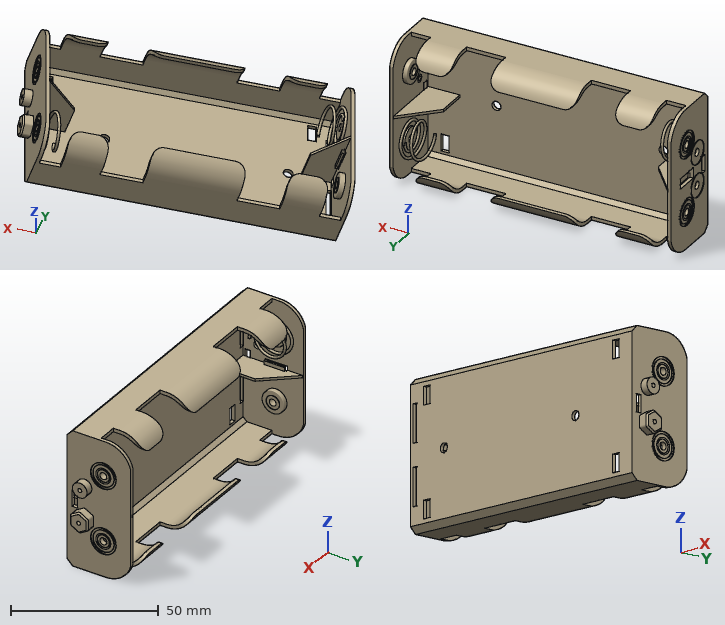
import cadquery as cq
import math

length = 109.0
depth = 25.68
width = 53.98
wall = 1.4
half_width = width / 2

back_chamfer = 2.35
shoulder_radius = 10.3
shoulder_y = 15.7
shoulder_z = half_width - shoulder_radius

notch_floor_y = 13.0
flap_end_start = 8.85
flap_end_length = 14.0
flap_middle_length = 33.2
flap_tip_z = 20.5
flap_corner_radius = 4.2

rib_thickness = 1.0
rib_top_y = 25.4
rib_left_slope = 1.17
rib_right_slope = 1.0

window_x = 6.5
window_length = 3.05
window_z_min = 16.55
window_z_max = 23.05
slot_x = 1.3
slot_length = 1.8
slot_z_min = 4.2
slot_z_max = 17.9
mount_hole_diameter = 3.4
mount_hole_xs = (16.45, 81.1)

contact_y = 14.6
contact_z = 13.0
contact_recess_radius = 5.1
contact_recess_depth = 0.4
contact_flange_radius = 4.25
contact_flange_thickness = 0.3
contact_shank_radius = 2.5
contact_bore_radius = 1.35
lip_mean_radius = 2.7
lip_wire_radius = 0.55
button_head_radius = 4.5
button_thickness = 1.75
button_edge_fillet = 0.2
button_nub_radius = 2.7
button_nub_height = 0.2

spring_base_thickness = 0.7
spring_wire_radius = 0.5
spring_spiral_turns = 1.0
spring_coil_turns = 1.5
spring_inner_radius = 3.6
spring_base_radius = 6.9
spring_tip_radius = 6.4
spring_pitch = 4.0
spring_seat_gap = 0.05
spring_points_per_turn = 16

snap_y = 7.1
snap_z = 6.35
snap_hole_radius = 1.4
snap_bore_radius = 0.75
snap_recess_radius = 4.45
snap_recess_depth = 0.3
stud_radius = 2.95
stud_height = 3.0
socket_across_flats = 7.3
socket_height = 3.7
socket_corner_fillet = 1.0
socket_rim_chamfer = 0.6

wire_slot_y_min = 2.1
wire_slot_y_max = 4.25
wire_slot_half_width = 3.2
pocket_y = 14.7
pocket_length = 9.0
pocket_width = 4.0
pocket_depth = 1.8
pocket_pad_length = 8.2
pocket_pad_thickness = 1.2


def box(x_range, y_range, z_range):
    """Box spanning three (low, high) ranges."""
    spans = [high - low for low, high in (x_range, y_range, z_range)]
    corner = (x_range[0], y_range[0], z_range[0])
    return cq.Workplane("XY").box(*spans, centered=False).translate(corner)


def rod(radius, x_start, x_end, y, z):
    """Cylinder along X."""
    plane = cq.Workplane("YZ", origin=(x_start, y, z))
    return plane.circle(radius).extrude(x_end - x_start)


def mirrored_in_z(shape):
    """The shape together with its mirror image across the middle plane."""
    return shape.union(shape.mirror("XY"))


def turned_to_right_end(shape):
    """Copy turned half a turn about the axis along Y through the middle of the holder."""
    middle = length / 2
    return shape.rotate((middle, 0, 0), (middle, 1, 0), 180)


def section_prism(inset, x_start, x_end):
    """Housing section inset by a wall thickness, with full quarter-round shoulders, run along X."""
    radius = shoulder_radius - inset
    side_z = half_width - inset
    chamfer = back_chamfer - inset * (2 - math.sqrt(2))
    crest_y = shoulder_y + radius
    arc_middle = radius * math.sqrt(0.5)
    return (
        cq.Workplane("YZ", origin=(x_start, 0, 0))
        .moveTo(inset, side_z - chamfer)
        .lineTo(inset + chamfer, side_z)
        .lineTo(shoulder_y, side_z)
        .threePointArc((shoulder_y + arc_middle, shoulder_z + arc_middle), (crest_y, shoulder_z))
        .lineTo(crest_y, -shoulder_z)
        .threePointArc((shoulder_y + arc_middle, -shoulder_z - arc_middle), (shoulder_y, -side_z))
        .lineTo(inset + chamfer, -side_z)
        .lineTo(inset, chamfer - side_z)
        .close()
        .extrude(x_end - x_start)
    )


def flap_keep_outs():
    """Everything above the notch floors between the end walls, except the rounded flaps."""
    middle_x = length / 2
    end_flap_x = flap_end_start + flap_end_length / 2
    flaps = (
        (end_flap_x, flap_end_length),
        (middle_x, flap_middle_length),
        (length - end_flap_x, flap_end_length),
    )
    keep_out = box(
        (wall, length - wall),
        (notch_floor_y, depth + wall),
        (-half_width - wall, half_width + wall),
    )
    flap_reach = half_width + wall - flap_tip_z
    for x, flap_length in flaps:
        flap = (
            cq.Workplane("XY")
            .box(flap_length, depth, flap_reach)
            .edges("|Y and <Z")
            .fillet(flap_corner_radius)
            .translate((x, notch_floor_y + depth / 2, flap_tip_z + flap_reach / 2))
        )
        keep_out = keep_out.cut(mirrored_in_z(flap))
    return keep_out


def end_rib(slope):
    """Triangular rib behind the left end wall, in the middle plane."""
    foot_x = wall + (rib_top_y - notch_floor_y) / slope
    return (
        cq.Workplane("XY", origin=(0, 0, -rib_thickness / 2))
        .polyline([(wall, wall), (wall, rib_top_y), (foot_x, notch_floor_y), (foot_x, wall)])
        .close()
        .extrude(rib_thickness)
    )


def back_plate_openings():
    """Corner windows, contact slots and mounting holes through the back plate."""
    through = (0, wall)
    window = box((window_x, window_x + window_length), through, (window_z_min, window_z_max))
    windows = mirrored_in_z(window)
    slot = box((slot_x, slot_x + slot_length), through, (slot_z_min, slot_z_max))
    openings = windows.union(turned_to_right_end(windows)).union(mirrored_in_z(slot))
    for x in mount_hole_xs:
        hole = cq.Workplane("XZ", origin=(x, wall, 0)).circle(mount_hole_diameter / 2).extrude(wall)
        openings = openings.union(hole)
    return openings


def contact_seat():
    """Shank hole and outer recess for a contact in the upper left corner."""
    hole = rod(contact_shank_radius, 0, wall, contact_y, contact_z)
    return hole.union(rod(contact_recess_radius, 0, contact_recess_depth, contact_y, contact_z))


def wire_slot():
    """Wire passage through the left end wall, beside the back plate."""
    return box(
        (0, wall),
        (wire_slot_y_min, wire_slot_y_max),
        (-wire_slot_half_width, wire_slot_half_width),
    )


def pocket():
    """Blind rectangular pocket in the outer face of the left end wall."""
    plane = cq.Workplane("YZ", origin=(0, pocket_y, 0))
    return plane.rect(pocket_length, pocket_width).extrude(pocket_depth)


def pocket_pad():
    """Pad inside the left end wall that backs the pocket."""
    plane = cq.Workplane("YZ", origin=(wall, pocket_y, 0))
    return plane.rect(pocket_pad_length, pocket_width).extrude(pocket_pad_thickness)


def make_housing():
    """Open tray with end walls, flaps, ribs and all openings."""
    envelope = box((0, length), (0, depth), (-half_width, half_width))
    body = section_prism(0, 0, length).intersect(envelope)
    body = body.cut(section_prism(wall, wall, length - wall)).cut(flap_keep_outs())
    body = body.union(end_rib(rib_left_slope)).union(turned_to_right_end(end_rib(rib_right_slope)))
    body = body.cut(back_plate_openings())

    seats = mirrored_in_z(contact_seat())
    body = body.cut(seats).cut(turned_to_right_end(seats))
    body = body.cut(wire_slot()).cut(turned_to_right_end(wire_slot()))
    body = body.union(pocket_pad()).cut(pocket())
    for z in (snap_z, -snap_z):
        body = body.cut(rod(snap_hole_radius, 0, wall, snap_y, z))
        body = body.cut(rod(snap_recess_radius, 0, snap_recess_depth, snap_y, z))
        body = body.cut(rod(snap_hole_radius, length - wall, length, snap_y, z))
    return body


def contact_rivet(z):
    """Hollow rivet through the left end wall: outer flange, shank and rolled lip, not yet bored."""
    flange_x = contact_recess_depth - contact_flange_thickness
    flange = rod(contact_flange_radius, flange_x, contact_recess_depth, contact_y, z)
    shank = rod(contact_shank_radius, flange_x, wall, contact_y, z)
    lip = cq.Solid.makeTorus(
        lip_mean_radius, lip_wire_radius, cq.Vector(lip_wire_radius, contact_y, z), cq.Vector(1, 0, 0)
    )
    flange_side = box((0, contact_recess_depth), (0, depth), (-half_width, half_width))
    return flange.union(shank).union(cq.Workplane(lip).intersect(flange_side))


def contact_bore(z):
    """Through bore of a contact."""
    return rod(contact_bore_radius, 0, length / 2, contact_y, z)


def make_button():
    """Flat contact with a raised nub, at the left end."""
    z = -contact_z
    face_x = wall + button_thickness
    head = rod(button_head_radius, wall, face_x, contact_y, z)
    head = head.faces(">X").edges().fillet(button_edge_fillet)
    nub = rod(button_nub_radius, face_x, face_x + button_nub_height, contact_y, z)
    return contact_rivet(z).union(head).union(nub).cut(contact_bore(z))


def spring_point(turns):
    """Centre of the wire after a number of turns: a flat spiral outwards, then a tapering coil."""
    angle = 2 * math.pi * turns
    if turns <= spring_spiral_turns:
        grown = math.sin(math.pi / 2 * turns / spring_spiral_turns)
        radius = spring_inner_radius + (spring_base_radius - spring_inner_radius) * grown
        rise = 0
    else:
        coil = turns - spring_spiral_turns
        radius = spring_base_radius + (spring_tip_radius - spring_base_radius) * coil / spring_coil_turns
        rise = spring_pitch * coil
    return cq.Vector(
        wall + spring_seat_gap + spring_wire_radius + rise,
        contact_y + radius * math.cos(angle),
        contact_z + radius * math.sin(angle),
    )


def make_spring():
    """Conical coil spring with its riveted base, at the left end."""
    total_turns = spring_spiral_turns + spring_coil_turns
    steps = round(total_turns * spring_points_per_turn)
    points = [spring_point(total_turns * i / steps) for i in range(steps + 1)]
    path = cq.Edge.makeSpline(points)
    start_plane = cq.Plane(origin=points[0], normal=path.tangentAt(0))
    wire = cq.Workplane(start_plane).circle(spring_wire_radius).sweep(cq.Workplane(path))
    base = rod(contact_flange_radius, wall, wall + spring_base_thickness, contact_y, contact_z)
    return contact_rivet(contact_z).union(base).union(wire).cut(contact_bore(contact_z))


def snap_shank(z):
    """Shank of a snap, filling its hole in the right end wall."""
    return rod(snap_hole_radius, length - wall, length, snap_y, z)


def snap_bore(z):
    """Through bore of a snap and its shank."""
    return rod(snap_bore_radius, length - wall, length + socket_height, snap_y, z)


def make_stud():
    """Round male snap on the right end wall."""
    post = rod(stud_radius, length, length + stud_height, snap_y, snap_z)
    return post.union(snap_shank(snap_z)).cut(snap_bore(snap_z))


def make_socket():
    """Hexagonal female snap on the right end wall, with its flats facing along Y."""
    across_corners = socket_across_flats / math.cos(math.pi / 6)
    crown = (
        cq.Workplane("YZ", origin=(length, snap_y, -snap_z))
        .transformed(rotate=(0, 0, 90))
        .polygon(6, across_corners)
        .extrude(socket_height)
        .edges("|X")
        .fillet(socket_corner_fillet)
        .faces(">X")
        .edges()
        .chamfer(socket_rim_chamfer)
    )
    return crown.union(snap_shank(-snap_z)).cut(snap_bore(-snap_z))


housing = make_housing()
left_spring = make_spring()
left_button = make_button()
springs = [left_spring, turned_to_right_end(left_spring)]
buttons = [left_button, turned_to_right_end(left_button)]
stud = make_stud()
socket = make_socket()

bodies = [housing, *springs, *buttons, stud, socket]
result = cq.Compound.makeCompound([body.solids().val() for body in bodies])